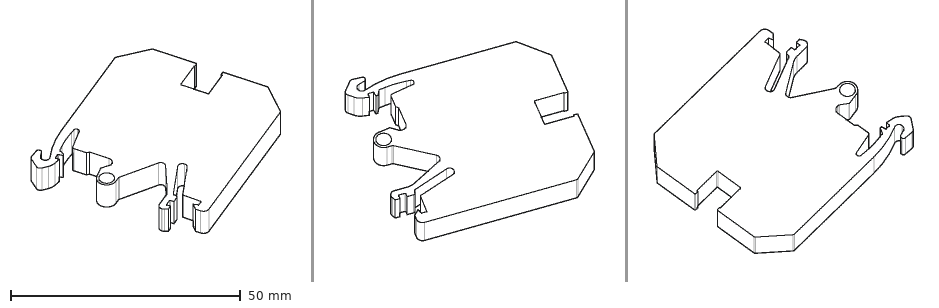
import cadquery as cq
import math

height = 45.8
thickness = 6.5
body_width = 40.1
shoulder = 6.05
shoulder_radius = 0.45

notch_left = 16.65
notch_width = 6.8
notch_depth = 7.75
lip_depth = 0.9
left_lip = 0.2
right_lip = 0.3
notch_radius = 0.2

tube_x = 15.7
tube_y = 3.65
tube_radius = 2.25
bore_radius = 1.7

hook_left = -2.1
hook_tip_y = 5.4
hook_tip_width = 1.05
hook_tip_radius = 0.55
throat_y = 2.95
throat_radius = 0.95
arm_outer_radius = 24.15
arm_inner_radius = 22.63
arm_slot_top = 15.1
arm_slot_radius = 0.55

recess_y = 9.6
recess_step = 0.5
recess_radius = 1.3

leg_left = 29.72
leg_right = 32.2
leg_notch_depth = 1.0
leg_notch_bottom = 1.6
leg_notch_top = 3.25
leg_bottom_radius = 1.1
leg_bend_radius = 3.65
vee_apex = (24.6, 14.43)
vee_radius = 1.05
slot_top = 15.25
slot_left = 27.4
slot_width = 2.2
slot_radius = 1.0

foot_bottom = 3.1
foot_inner = 37.5
foot_barb = 1.2
foot_radius = 1.37

edge_radius = 0.16
bend_radius = 0.5



def top_corners():
    """Upper edge, from the right side to the left side."""
    notch_right = notch_left + notch_width
    notch_floor = height - notch_depth
    lip_y = height - lip_depth
    return [
        (body_width, height - shoulder, shoulder_radius),
        (body_width - shoulder, height, shoulder_radius),
        (notch_right - right_lip, height, notch_radius),
        (notch_right - right_lip, lip_y, 0),
        (notch_right, lip_y, 0),
        (notch_right, notch_floor, notch_radius),
        (notch_left, notch_floor, notch_radius),
        (notch_left, lip_y, 0),
        (notch_left + left_lip, lip_y, 0),
        (notch_left + left_lip, height, notch_radius),
        (shoulder, height, shoulder_radius),
        (0, height - shoulder, shoulder_radius),
    ]


def left_arm_corners():
    """Curved arm, its hook and barb, and the slot behind it."""
    return [
        (0, 8.47, arm_outer_radius),
        (2.15, throat_y, throat_radius),
        (-0.15, throat_y, throat_radius),
        (hook_left + 0.2 + hook_tip_width, hook_tip_y, hook_tip_radius),
        (hook_left + 0.2, hook_tip_y, hook_tip_radius),
        (hook_left, 2.3, 0.95),
        (1.0, -0.27, 0.95),
        (3.3, 2.15, 3.2),
        (3.75, 4.6, 0),
        (2.75, 4.63, edge_radius),
        (2.75, 5.9, 0),
        (3.9, 6.05, 0),
        (3.9, 6.5, edge_radius),
        (2.55, 7.25, 0),
        (2.05, 11.15, arm_inner_radius),
        (2.45, arm_slot_top, arm_slot_radius),
        (3.53, arm_slot_top, arm_slot_radius),
        (4.65, recess_y - recess_step, bend_radius),
    ]


def recess_corners():
    """Stepped recess edge, then down to the tube and up into the V opening."""
    return [
        (8.1, recess_y - recess_step, 0),
        (8.1 + recess_step, recess_y, 0),
        (14.6, recess_y, recess_radius),
        (14.6, 7.9, bend_radius),
        (13.1, 6.0, edge_radius),
        (tube_x - tube_radius, tube_y, 0),
        (tube_x + tube_radius, tube_y, 0),
        (tube_x + tube_radius, 5.0, bend_radius),
        (*vee_apex, vee_radius),
    ]


def middle_leg_corners():
    """Leg with a side notch, then the sloping slot to its right."""
    notch_x = leg_right - leg_notch_depth
    return [
        (leg_left, 5.1, leg_bend_radius),
        (leg_left, 0, leg_bottom_radius),
        (leg_right - 1.0, 0, leg_bottom_radius),
        (leg_right, 0.5, 0),
        (leg_right, leg_notch_bottom, 0),
        (notch_x, leg_notch_bottom, 0),
        (notch_x, leg_notch_top, edge_radius),
        (leg_right, leg_notch_top, 0),
        (leg_right, 5.2, bend_radius),
        (31.05, 5.25, bend_radius),
        (slot_left, slot_top, slot_radius),
        (slot_left + slot_width, slot_top, slot_radius),
    ]


def right_foot_corners():
    """Edge beside the sloping slot and the barbed foot."""
    return [
        (32.95, 6.05, edge_radius),
        (foot_inner, 5.9, 0),
        (foot_inner, 4.65, 0),
        (foot_inner - foot_barb, 4.35, 0),
        (foot_inner, foot_bottom, 0),
        (body_width, foot_bottom, foot_radius),
    ]


def rounded_corner(before, corner, after):
    """Start, middle and end of the arc that rounds a corner."""
    x, y, radius = corner
    length_in = math.hypot(before[0] - x, before[1] - y)
    length_out = math.hypot(after[0] - x, after[1] - y)
    in_x, in_y = (before[0] - x) / length_in, (before[1] - y) / length_in
    out_x, out_y = (after[0] - x) / length_out, (after[1] - y) / length_out
    half_angle = math.acos(in_x * out_x + in_y * out_y) / 2
    setback = radius / math.tan(half_angle)
    bisector = math.hypot(in_x + out_x, in_y + out_y)
    middle_distance = radius / math.sin(half_angle) - radius
    start = (x + setback * in_x, y + setback * in_y)
    middle = (
        x + middle_distance * (in_x + out_x) / bisector,
        y + middle_distance * (in_y + out_y) / bisector,
    )
    end = (x + setback * out_x, y + setback * out_y)
    return start, middle, end


def rounded_outline(corners):
    """Closed outline through the corners, starting at a sharp one."""
    outline = cq.Workplane("XY").workplane(offset=-thickness / 2).moveTo(*corners[0][:2])
    for i in range(1, len(corners)):
        corner = corners[i]
        if corner[2] == 0:
            outline = outline.lineTo(*corner[:2])
            continue
        after = corners[(i + 1) % len(corners)]
        start, middle, end = rounded_corner(corners[i - 1], corner, after)
        outline = outline.lineTo(*start).threePointArc(middle, end)
    return outline.close()


def tube_cylinder(radius):
    base = cq.Workplane("XY").workplane(offset=-thickness / 2)
    return base.center(tube_x, tube_y).circle(radius).extrude(thickness)


all_corners = (
    top_corners()
    + left_arm_corners()
    + recess_corners()
    + middle_leg_corners()
    + right_foot_corners()
)
first_sharp = [corner[2] for corner in all_corners].index(0)
outline_corners = all_corners[first_sharp:] + all_corners[:first_sharp]

plate = rounded_outline(outline_corners).extrude(thickness)
result = plate.union(tube_cylinder(tube_radius)).cut(tube_cylinder(bore_radius))